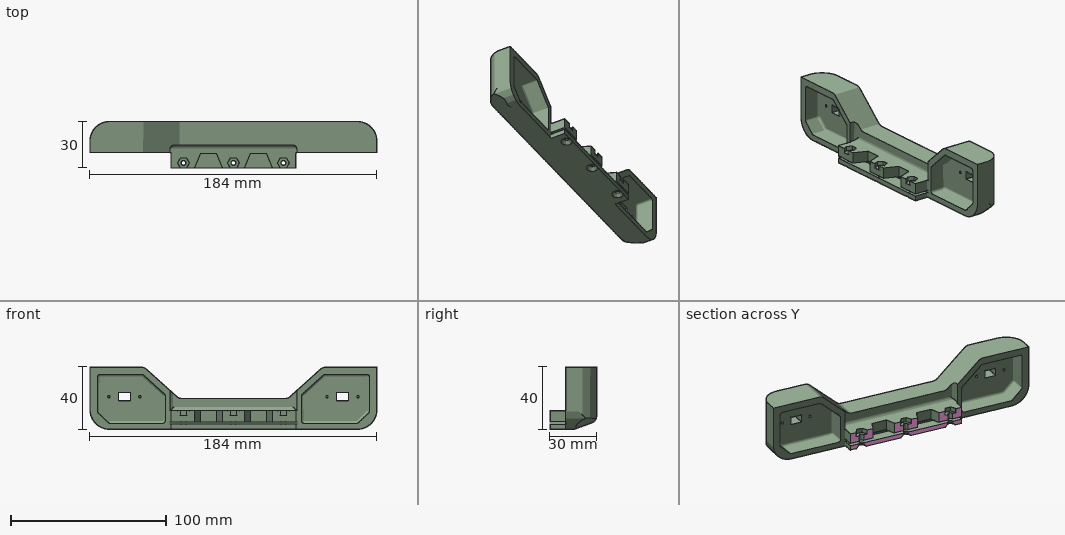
import cadquery as cq
import math

length = 184.0
body_depth = 20.0
height = 40.0
half_length = length / 2
edge_radius = 5.0

corner_length = 12.7
corner_width = 11.5
corner_radius = (corner_length**2 + corner_width**2) / (2 * corner_width)

bridge_height = 19.9
shoulder_x = 57.2
bridge_x = 35.0

flat_bottom_depth = 5.5
underside_angle = 20.0
facet_angle = 30.0
facet_start_x = half_length - 8.5

recess_half_width = 40.7
recess_depth = 5.0
recess_radius = 3.0

tab_half_width = 40.1
tab_reach = 10.0
tab_height = 12.0
tab_root_radius = recess_half_width - tab_half_width
slot_bottom = 3.3
slot_top = 4.8

notch_x = 16.0
notch_front_half = 9.0
notch_back_half = 5.2
notch_depth = 9.4

screw_spacing = 32.0
screw_diameter = 3.0
screw_inset = 3.3
nut_depth = 3.0
nut_corner_diameter = 2 * screw_inset / math.cos(math.radians(30))
screw_head_diameter = 7.2
countersink_angle = 90.0

pocket_depth = 11.0
pocket_radius = 1.8
pocket_outer_x = 87.2
pocket_inner_x = 43.6
pocket_bottom = 3.9
pocket_top = 35.3
pocket_slope_x = 58.1
pocket_slope_z = 22.0
pocket_chamfer_x = 79.7
pocket_chamfer_z = 11.0

window_x = 70.0
window_z = 21.0
window_width = 7.5
window_height = 5.2
pin_offset = 10.0
pin_diameter = 1.5
pin_depth = 1.8


def front_plane(y):
    """XZ workplane at depth y; negative extrusions run toward the back."""
    return cq.Workplane("XZ", origin=(0, y, 0))


def make_side_profile():
    """Bar with raised ends and rounded shoulders."""
    outline = [
        (-half_length, 0),
        (half_length, 0),
        (half_length, height),
        (shoulder_x, height),
        (bridge_x, bridge_height),
        (-bridge_x, bridge_height),
        (-shoulder_x, height),
        (-half_length, height),
    ]
    profile = front_plane(0).polyline(outline).close().extrude(-body_depth)
    for x, z in ((shoulder_x, height), (bridge_x, bridge_height)):
        for side in (-1, 1):
            corner = cq.selectors.NearestToPointSelector((side * x, body_depth / 2, z))
            profile = profile.edges(corner).fillet(edge_radius)
    return profile


def rounded_slab(plane, size, thickness):
    """Slab as long as the body and `size` high, with rounded corners at its upper side."""
    return (
        cq.Workplane(plane)
        .moveTo(-half_length, 0)
        .lineTo(half_length, 0)
        .lineTo(half_length, size - corner_width)
        .radiusArc((half_length - corner_length, size), -corner_radius)
        .lineTo(-half_length + corner_length, size)
        .radiusArc((-half_length, size - corner_width), -corner_radius)
        .close()
        .extrude(thickness)
    )


def make_underside():
    """Oversized block whose lower faces are the underside of the body."""
    rise = 2 * height
    run = rise / math.tan(math.radians(facet_angle))
    outline = [
        (-facet_start_x, 0),
        (facet_start_x, 0),
        (facet_start_x + run, rise),
        (-facet_start_x - run, rise),
    ]
    slope_depth = body_depth - flat_bottom_depth
    front = front_plane(0).polyline(outline).close().extrude(-flat_bottom_depth)
    back = (
        front_plane(flat_bottom_depth)
        .polyline(outline)
        .close()
        .extrude(-slope_depth, taper=underside_angle)
    )
    block = front.union(back)
    below_top = cq.selectors.BoxSelector(
        (-length, flat_bottom_depth / 4, -1.8),
        (length, body_depth + 1.8, rise * 0.9),
    )
    return block.edges(below_top).fillet(edge_radius)


def make_recess():
    """Cutter for the front of the bridge, rounded along its back and end corners."""
    return (
        cq.Workplane("XY", origin=(0, 0, tab_height))
        .rect(2 * recess_half_width, 2 * recess_depth)
        .extrude(height)
        .edges("(|Z and >Y) or (>Y and <Z)")
        .fillet(recess_radius)
    )


def make_pocket():
    """Pocket, window and pin holes of the +X end."""
    outline = [
        (pocket_inner_x, pocket_bottom),
        (pocket_chamfer_x, pocket_bottom),
        (pocket_outer_x, pocket_chamfer_z),
        (pocket_outer_x, pocket_top),
        (pocket_slope_x, pocket_top),
        (pocket_inner_x, pocket_slope_z),
    ]
    pocket = front_plane(0).polyline(outline).close().extrude(-pocket_depth)
    pocket = pocket.edges("|Y or >Y").fillet(pocket_radius)
    window = (
        front_plane(0)
        .center(window_x, window_z)
        .rect(window_width, window_height)
        .extrude(-body_depth)
    )
    pins = (
        front_plane(0)
        .center(window_x, window_z)
        .pushPoints([(-pin_offset, 0), (pin_offset, 0)])
        .circle(pin_diameter / 2)
        .extrude(-(pocket_depth + pin_depth))
    )
    return pocket.union(window).union(pins)


def make_tab():
    """Tab with concave root fillets, split into two leaves by a slot."""
    root_x = tab_half_width + tab_root_radius
    tab = (
        cq.Workplane("XY")
        .moveTo(-root_x, 0)
        .radiusArc((-tab_half_width, -tab_root_radius), tab_root_radius)
        .lineTo(-tab_half_width, -tab_reach)
        .lineTo(tab_half_width, -tab_reach)
        .lineTo(tab_half_width, -tab_root_radius)
        .radiusArc((root_x, 0), tab_root_radius)
        .close()
        .extrude(tab_height)
    )
    slot = (
        cq.Workplane("XY", origin=(0, -tab_reach / 2, slot_bottom))
        .rect(length, tab_reach)
        .extrude(slot_top - slot_bottom)
    )
    return tab.cut(slot)


def make_notches():
    """Two trapezoids that narrow toward the back, cut through the upper leaf."""
    outline = [
        (-notch_front_half, 0),
        (notch_front_half, 0),
        (notch_back_half, notch_depth),
        (-notch_back_half, notch_depth),
    ]
    notch = (
        cq.Workplane("XY", origin=(0, -tab_reach, slot_top))
        .polyline(outline)
        .close()
        .extrude(tab_height - slot_top)
    )
    return notch.translate((-notch_x, 0, 0)).union(notch.translate((notch_x, 0, 0)))


def cut_screw_holes(tab):
    """Countersunk from below, with hexagonal nut pockets from above."""
    centres = [(x, screw_inset - tab_reach) for x in (-screw_spacing, 0, screw_spacing)]
    nuts = (
        cq.Workplane("XY", origin=(0, 0, tab_height - nut_depth))
        .pushPoints(centres)
        .polygon(6, nut_corner_diameter)
        .extrude(nut_depth)
    )
    return (
        tab.cut(nuts)
        .faces("<Z")
        .workplane(origin=(0, 0, 0))
        .pushPoints([(x, -y) for x, y in centres])
        .cskHole(screw_diameter, screw_head_diameter, countersink_angle)
    )


body = (
    make_side_profile()
    .intersect(rounded_slab("XY", body_depth, height))
    .intersect(rounded_slab("XZ", height, -body_depth).mirror("XY").translate((0, 0, height)))
    .intersect(make_underside())
    .cut(make_recess())
)
pocket = make_pocket()
body = body.cut(pocket).cut(pocket.mirror("YZ"))

tab = cut_screw_holes(make_tab().cut(make_notches()))
result = body.union(tab)